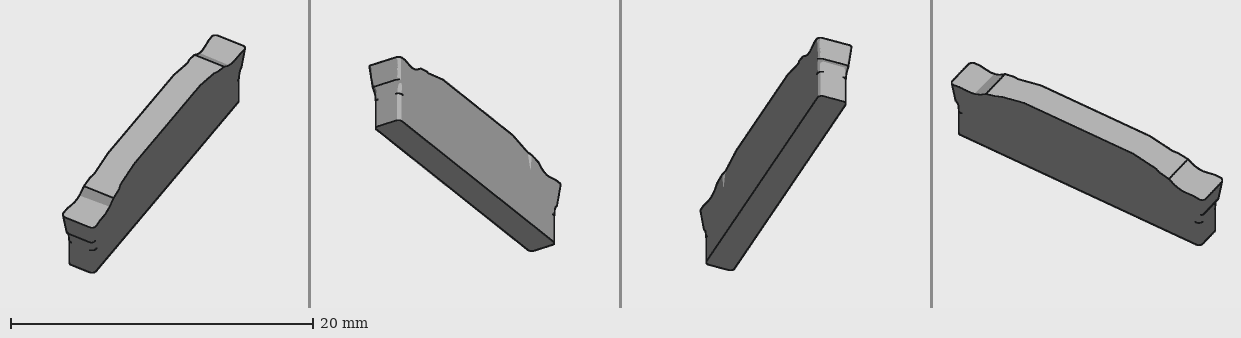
import cadquery as cq
import math

length = 20.17
height = 5.69
half_length = length / 2
body_half_width = 1.0
edge_half_width = 1.27
corner_radius = 0.3

edge_z = 4.58
relief_bottom_z = 2.99
relief_setback = 0.2
neck_top_z = 2.48
neck_setback = 0.4
body_end = half_length - neck_setback

land_setback, land_z = 0.73, 4.64
land_round_setback, land_round_z = 0.93, 4.62
groove_start_setback, groove_start_z = 1.21, 4.58
groove_floor_setback, groove_floor_z = 1.61, 4.54
groove_mid_setback, groove_mid_z = 2.18, 4.65
groove_end_setback, groove_end_z = 2.62, 4.92
ramp_setback, ramp_z = 2.8, 5.05
crown_setback = 5.75

head_base_z = 2.05
side_relief = 0.085
back_taper = 0.06
shoulder_setback = 3.57
shoulder_slope = 0.3
band_margin = 0.02


def y_at(setback):
    return half_length - setback


def half_profile():
    """YZ outline of the +Y half, extruded past the widest part of the head."""
    neck_rise = relief_bottom_z - neck_top_z
    neck_step = neck_setback - relief_setback
    neck_radius = (neck_rise**2 + neck_step**2) / (2 * neck_step)
    half_angle = math.asin(neck_rise / neck_radius) / 2
    neck_mid = (
        body_end + neck_radius * (1 - math.cos(half_angle)),
        neck_top_z + neck_radius * math.sin(half_angle),
    )
    return (
        cq.Workplane("YZ")
        .moveTo(0, 0)
        .lineTo(body_end, 0)
        .lineTo(body_end, neck_top_z)
        .threePointArc(neck_mid, (y_at(relief_setback), relief_bottom_z))
        .lineTo(half_length, edge_z)
        .lineTo(y_at(land_setback), land_z)
        .lineTo(y_at(land_round_setback), land_round_z)
        .lineTo(y_at(groove_start_setback), groove_start_z)
        .lineTo(y_at(groove_floor_setback), groove_floor_z)
        .threePointArc(
            (y_at(groove_mid_setback), groove_mid_z),
            (y_at(groove_end_setback), groove_end_z),
        )
        .lineTo(y_at(ramp_setback), ramp_z)
        .lineTo(y_at(crown_setback), height)
        .lineTo(0, height)
        .close()
        .extrude(edge_half_width + corner_radius, both=True)
    )


def head_plan(z):
    """Plan outline of the flared head at height z."""
    edge_half = edge_half_width - side_relief * (edge_z - z)
    shoulder_half = edge_half - back_taper * shoulder_setback
    shoulder_end = y_at(shoulder_setback + shoulder_half / shoulder_slope)
    return [
        (edge_half, half_length),
        (shoulder_half, y_at(shoulder_setback)),
        (0, shoulder_end),
        (-shoulder_half, y_at(shoulder_setback)),
        (-edge_half, half_length),
    ]


def make_head(profile):
    flare = (
        cq.Workplane("XY", origin=(0, 0, head_base_z))
        .polyline(head_plan(head_base_z))
        .close()
        .workplane(offset=height - head_base_z)
        .polyline(head_plan(height))
        .close()
        .loft(ruled=True)
    )
    end_band = cq.selectors.BoxSelector(
        (-length, body_end - band_margin, head_base_z + band_margin),
        (length, half_length + band_margin, edge_z - band_margin),
    )
    head = flare.intersect(profile)
    return head.edges(end_band).edges("not |X").fillet(corner_radius)


def make_body_half(profile):
    slab = (
        cq.Workplane("XY")
        .rect(2 * body_half_width, 2 * body_end)
        .extrude(height)
        .edges("|Z")
        .fillet(corner_radius)
    )
    return slab.intersect(profile)


profile = half_profile()
half = make_body_half(profile).union(make_head(profile))
result = half.union(half.mirror("XZ")).clean()